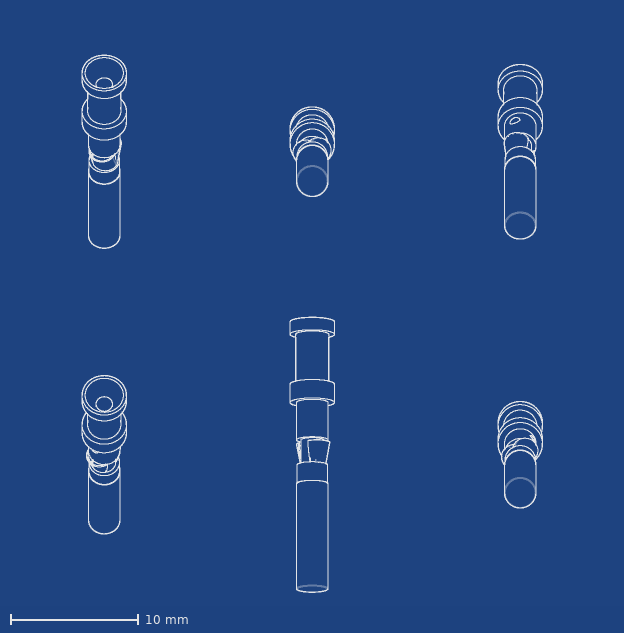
import cadquery as cq
import math

length = 21.5
pin_radius = 1.25
sleeve_radius = 1.2
neck_radius = 0.9
barrel_radius = 1.31
collar_diameter = 3.5
collar_radius = collar_diameter / 2
end_rounding = 0.06

pin_top = 8.5
sleeve_top = 10.0
neck_top = 12.0
flange_bottom = 15.0
flange_top = 16.5
head_bottom = 20.5

funnel_radius = 1.5
funnel_depth = 1.5
bore_radius = 0.65
bore_tip = 13.12
drill_point_angle = 118.0

inspection_radius = 0.4
inspection_height = 14.0

clip_top = 11.74
clip_outer_radius = 1.0
clip_wall = 0.1
clip_offset = 0.09
clip_foot_y = 0.02
clip_lean = 0.52
clip_gap = 1.23


def cylinder(radius, bottom, top):
    return cq.Workplane("XY").workplane(offset=bottom).circle(radius).extrude(top - bottom)


def make_body():
    body = cylinder(pin_radius, 0, pin_top).faces("<Z").edges().fillet(end_rounding)
    steps = [
        (sleeve_radius, pin_top, sleeve_top),
        (neck_radius, sleeve_top, neck_top),
        (pin_radius, neck_top, flange_bottom),
        (collar_radius, flange_bottom, flange_top),
        (barrel_radius, flange_top, head_bottom),
        (collar_radius, head_bottom, length),
    ]
    for radius, bottom, top in steps:
        body = body.union(cylinder(radius, bottom, top))
    return body


def make_bore():
    point_depth = bore_radius / math.tan(math.radians(drill_point_angle / 2))
    profile = [
        (0, bore_tip),
        (bore_radius, bore_tip + point_depth),
        (bore_radius, length - funnel_depth),
        (funnel_radius, length),
        (0, length),
    ]
    return cq.Workplane("XZ").polyline(profile).close().revolve(360, (0, 0), (0, 1))


def make_inspection_hole():
    return (
        cq.Workplane("XZ")
        .center(0, inspection_height)
        .circle(inspection_radius)
        .extrude(-collar_radius)
    )


def leaning_cylinder(radius):
    """Cylinder of constant radius whose axis leans toward -Y as it rises."""
    return (
        cq.Workplane("XY")
        .workplane(offset=sleeve_top)
        .center(clip_offset, clip_foot_y)
        .circle(radius)
        .workplane(offset=clip_top - sleeve_top)
        .center(0, -clip_lean)
        .circle(radius)
        .loft(ruled=True)
    )


def make_clip():
    size = 4 * clip_outer_radius
    front_half = cq.Workplane("XY").box(size, size, length, centered=(True, False, False))
    front_half = front_half.translate((0, -size, 0))
    half = leaning_cylinder(clip_outer_radius).cut(leaning_cylinder(clip_outer_radius - clip_wall))
    half = half.intersect(front_half)
    gap = cq.Workplane("XY").box(size, clip_gap, length, centered=(True, True, False))
    gap = gap.translate((-size / 2, 0, 0))
    return half.union(half.mirror("XZ")).cut(gap)


result = make_body().union(make_clip()).cut(make_bore()).cut(make_inspection_hole())